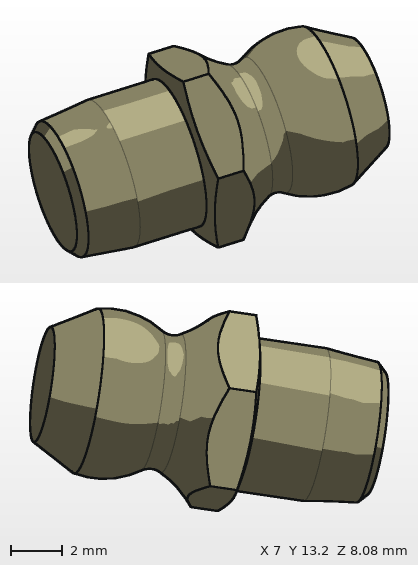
import cadquery as cq
import math


total_length = 13.2
hex_across_flats = 7.0
hex_across_corners = hex_across_flats / math.cos(math.pi / 6)
corner_clearance = 0.13
blank_radius = hex_across_corners / 2 + corner_clearance
hex_chamfer_angle = math.radians(15)

shank_length = 5.2
shank_radius = 3.0
taper_length = 2.42
taper_end_radius = 2.76
tip_chamfer = 0.34

head_end = total_length - shank_length
head_end_radius = 2.26
ball_radius = 3.31
ball_center = 5.55
cone_start = 6.26

throat_radius = 2.63
throat_arc = 0.82
flare_start_angle = math.radians(26.5)
flare_arc = 4.22

throat_center_radius = throat_radius + throat_arc
throat_center = ball_center - math.sqrt((ball_radius + throat_arc) ** 2 - throat_center_radius ** 2)


def point_on_ball(y):
    """Profile point (radius, y) on the ball at height y."""
    return math.sqrt(ball_radius ** 2 - (y - ball_center) ** 2), y


def point_on_throat(angle):
    """Profile point on the throat arc, with positive angles on the hexagon side."""
    return (
        throat_center_radius - throat_arc * math.cos(angle),
        throat_center - throat_arc * math.sin(angle),
    )


throat_ball_angle = -math.acos(throat_center_radius / (ball_radius + throat_arc))
ball_end = point_on_throat(throat_ball_angle)
flare_start = point_on_throat(flare_start_angle)

flare_center_radius = flare_start[0] + flare_arc * math.cos(flare_start_angle)
flare_center = flare_start[1] + flare_arc * math.sin(flare_start_angle)
flare_end_angle = math.acos((flare_center_radius - blank_radius) / flare_arc)


def point_on_flare(angle):
    """Profile point on the flare arc."""
    return (
        flare_center_radius - flare_arc * math.cos(angle),
        flare_center - flare_arc * math.sin(angle),
    )


flare_middle = point_on_flare((flare_start_angle + flare_end_angle) / 2)
flare_end = point_on_flare(flare_end_angle)
hex_chamfer_height = (blank_radius - shank_radius) * math.tan(hex_chamfer_angle)

hex_prism = (
    cq.Workplane("XZ", origin=(0, head_end, 0))
    .polygon(6, hex_across_corners)
    .extrude(total_length)
    .rotate((0, 0, 0), (0, 1, 0), 30)
)

turned_body = (
    cq.Workplane("XY")
    .moveTo(0, -shank_length)
    .lineTo(taper_end_radius - tip_chamfer, -shank_length)
    .lineTo(taper_end_radius, tip_chamfer - shank_length)
    .lineTo(shank_radius, taper_length - shank_length)
    .lineTo(shank_radius, 0)
    .lineTo(blank_radius, hex_chamfer_height)
    .lineTo(*flare_end)
    .threePointArc(flare_middle, flare_start)
    .threePointArc(point_on_throat(flare_start_angle / 2), point_on_throat(0))
    .threePointArc(point_on_throat(throat_ball_angle / 2), ball_end)
    .threePointArc(point_on_ball(ball_center), point_on_ball(cone_start))
    .lineTo(head_end_radius, head_end)
    .lineTo(0, head_end)
    .close()
    .revolve(360, (0, 0, 0), (0, 1, 0))
)

result = turned_body.intersect(hex_prism)